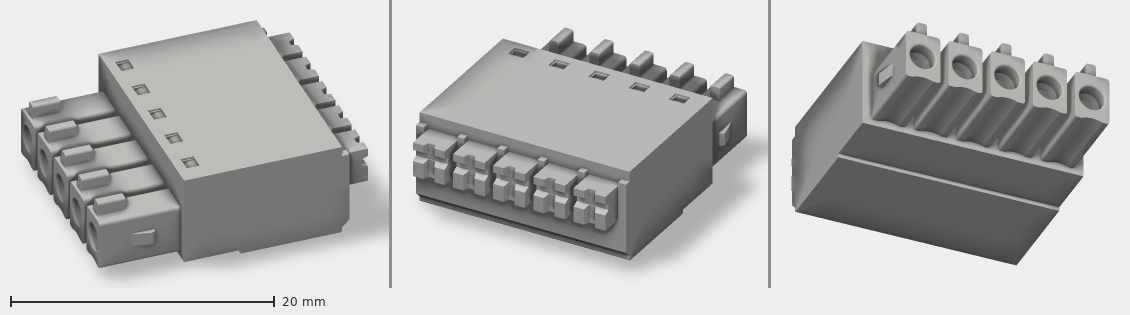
import cadquery as cq


length = 21.8
width = 18.3
height = 7.8
pole_count = 5
pole_span = 14.0
pitch = pole_span / (pole_count - 1)
pole_x = [index * pitch - pole_span / 2 for index in range(pole_count)]

housing_front = 6.58
housing_back = 20.0
shelf_depth = 0.59
shelf_z = 6.98
rear_edge_y = housing_back - shelf_depth
rear_chamfer_low = 0.44
rear_chamfer_high = 1.0
foot_step_y = 11.18
foot_step_height = 0.33
foot_bevel = 0.09

lever_width = 2.77
lever_top = 6.58
lever_bottom = 3.65
lever_root = rear_edge_y
lever_slot_width = 2.92
top_notch_mouth = 0.95
top_notch_floor = 0.57
top_notch_depth = 0.5
side_notch_mouth = 0.98
side_notch_floor = 0.5
side_notch_depth = 0.52
side_notch_z = 5.45

socket_width = 2.83
socket_bottom = 0.83
socket_top = 4.93
socket_top_round = 0.26
socket_bottom_round = 0.2
arch_width = 1.7
arch_height = 0.17

hole_z = 2.9
hole_radius = 1.02
hole_depth = 1.44
hole_rim_round = 0.17
hole_floor_radius = 0.6
hole_cone_depth = 0.35

key_width = 0.85
key_top = 6.1
key_front = 0.26
key_back = 2.49
key_top_round = 0.2
key_foot_round = 0.17

latch_reach = 0.41
latch_front = 2.49
latch_peak = 4.16
latch_back = 4.4
latch_back_reach = 0.25
latch_bottom = 2.35
latch_top = 3.42
latch_bulge = 0.05

window_width = 1.3
window_front = 7.35
window_back = 8.41
window_ledge = 0.1
window_ledge_depth = 0.15
window_floor_depth = 0.25
window_slope_back = 8.0
window_slope_depth = 0.48


def box(x_size, y_range, z_range):
    """Box centred on X = 0, spanning the given Y and Z ranges."""
    y_size = y_range[1] - y_range[0]
    z_size = z_range[1] - z_range[0]
    corner_box = cq.Workplane("XY").box(x_size, y_size, z_size, centered=(True, False, False))
    return corner_box.translate((0, y_range[0], z_range[0]))


def extrude_side_profile(points, x_size):
    """Extrude a (Y, Z) outline symmetrically along X."""
    return cq.Workplane("YZ").polyline(points).close().extrude(x_size / 2, both=True)


def make_housing():
    """Block with a stepped top rear edge, a chamfered lower rear edge and a stepped underside."""
    return extrude_side_profile(
        [
            (housing_front, foot_step_height),
            (housing_front, height),
            (rear_edge_y, height),
            (rear_edge_y, shelf_z),
            (housing_back, shelf_z),
            (housing_back, rear_chamfer_high),
            (rear_edge_y, rear_chamfer_low),
            (rear_edge_y, foot_bevel),
            (rear_edge_y - foot_bevel, 0),
            (foot_step_y, 0),
            (foot_step_y, foot_step_height),
        ],
        width,
    )


def make_lever():
    """Release lever whose rear end is notched both vertically and sideways."""
    lever = box(lever_width, (lever_root, length), (lever_bottom, lever_top))
    top_notch = (
        cq.Workplane("XY")
        .polyline(
            [
                (-top_notch_mouth / 2, length),
                (-top_notch_floor / 2, length - top_notch_depth),
                (top_notch_floor / 2, length - top_notch_depth),
                (top_notch_mouth / 2, length),
            ]
        )
        .close()
        .extrude(height)
    )
    side_notch = extrude_side_profile(
        [
            (length, side_notch_z - side_notch_mouth / 2),
            (length - side_notch_depth, side_notch_z - side_notch_floor / 2),
            (length - side_notch_depth, side_notch_z + side_notch_floor / 2),
            (length, side_notch_z + side_notch_mouth / 2),
        ],
        lever_width,
    )
    return lever.cut(top_notch).cut(side_notch)


def make_lever_slot():
    """Clearance around a lever where it leaves the housing, open at the rear shelf."""
    return box(lever_slot_width, (lever_root, housing_back), (lever_bottom, shelf_z))


def make_socket_body():
    """Rounded bar along Y with a shallow arch hollowed along its underside."""
    body = box(socket_width, (0, housing_front), (socket_bottom, socket_top))
    body = body.edges("|Y and >Z").fillet(socket_top_round)
    body = body.edges("|Y and <Z").fillet(socket_bottom_round)
    arch = (
        cq.Workplane("XZ")
        .moveTo(-arch_width / 2, socket_bottom)
        .threePointArc((0, socket_bottom + arch_height), (arch_width / 2, socket_bottom))
        .close()
        .extrude(-housing_front)
    )
    return body.cut(arch)


def make_key():
    """Upright key with rounded top edges and flared feet along both sides."""
    half = key_width / 2
    foot_half = half + key_foot_round
    return (
        cq.Workplane("XZ", origin=(0, key_front, 0))
        .moveTo(-foot_half, socket_top)
        .radiusArc((-half, socket_top + key_foot_round), -key_foot_round)
        .lineTo(-half, key_top - key_top_round)
        .radiusArc((-half + key_top_round, key_top), key_top_round)
        .lineTo(half - key_top_round, key_top)
        .radiusArc((half, key_top - key_top_round), key_top_round)
        .lineTo(half, socket_top + key_foot_round)
        .radiusArc((foot_half, socket_top), -key_foot_round)
        .close()
        .extrude(key_front - key_back)
    )


def make_contact_hole():
    """Blind round hole along Y with a rounded-over rim and a conical step to its flat floor."""
    return (
        cq.Workplane("XY")
        .lineTo(hole_radius + hole_rim_round, 0)
        .radiusArc((hole_radius, hole_rim_round), hole_rim_round)
        .lineTo(hole_radius, hole_depth - hole_cone_depth)
        .lineTo(hole_floor_radius, hole_depth)
        .lineTo(0, hole_depth)
        .close()
        .revolve(360, (0, 0, 0), (0, 1, 0))
        .translate((0, 0, hole_z))
    )


def make_window():
    """Shallow recess holding a deeper pocket whose floor slopes down toward the front."""
    recess = box(window_width, (window_front, window_back), (height - window_ledge_depth, height))
    pocket_front = window_front + window_ledge
    pocket = extrude_side_profile(
        [
            (pocket_front, height),
            (pocket_front, height - window_slope_depth),
            (window_slope_back, height - window_floor_depth),
            (window_back, height - window_floor_depth),
            (window_back, height),
        ],
        window_width - 2 * window_ledge,
    )
    return recess.union(pocket)


def make_right_latch():
    """Wedge on the +X flank of the last socket, with a bulging ramp facing forward."""
    flank = pole_span / 2 + socket_width / 2
    ramp_middle = (flank + latch_reach / 2 + latch_bulge, (latch_front + latch_peak) / 2)
    return (
        cq.Workplane("XY", origin=(0, 0, latch_bottom))
        .moveTo(flank, latch_front)
        .threePointArc(ramp_middle, (flank + latch_reach, latch_peak))
        .lineTo(flank + latch_back_reach, latch_back)
        .lineTo(flank, latch_back)
        .close()
        .extrude(latch_top - latch_bottom)
    )


lever_slot = make_lever_slot()
window = make_window()
lever = make_lever()
socket = make_socket_body().union(make_key()).cut(make_contact_hole())

result = make_housing()
for x in pole_x:
    result = result.cut(lever_slot.translate((x, 0, 0)))
    result = result.cut(window.translate((x, 0, 0)))
    result = result.union(lever.translate((x, 0, 0)))
    result = result.union(socket.translate((x, 0, 0)))

right_latch = make_right_latch()
result = result.union(right_latch).union(right_latch.mirror("YZ"))